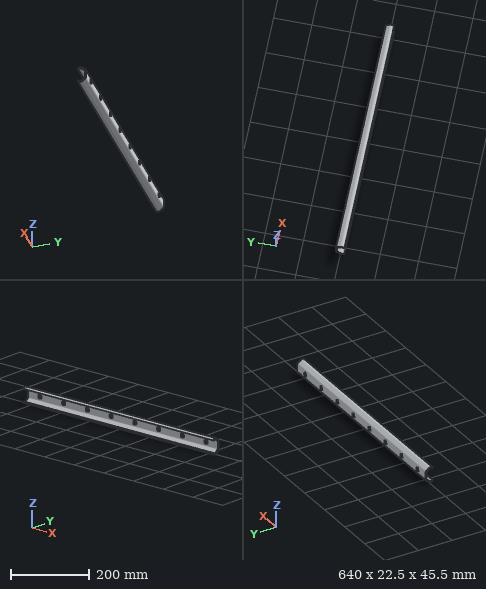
import cadquery as cq
import math

length = 640.0
depth = 22.5
height = 45.5
thickness = 4.0

flank_angle = 38.0
lip_angle = 33.0
bend_radius = 7.0
crest_radius = 8.0
crest_y = -4.5

hole_count = 8
hole_pitch = 80.0
hole_diameter = 11.0

web_y = depth / 2
bend_center_y = web_y - bend_radius
crest_z = height / 2 - crest_radius

flank = math.radians(flank_angle)
tangent_rise = (crest_radius - bend_radius) / math.cos(flank)
bend_z = crest_z - (bend_center_y - crest_y) * math.tan(flank) + tangent_rise

lip = math.radians(lip_angle)
tip_radius = thickness / 2
tip_y = tip_radius - depth / 2
tip_z = crest_z + (crest_radius - tip_radius) / math.cos(lip) - (crest_y - tip_y) * math.tan(lip)


def on_arc(center_y, center_z, radius, tilt):
    """Point on a bend, with tilt in degrees from +Z toward +Y."""
    angle = math.radians(tilt)
    return center_y + radius * math.sin(angle), center_z + radius * math.cos(angle)


def upper_face(inset):
    """Points from the mid-height of the web to the upper lip end, inset from the outer face."""
    bend = bend_radius - inset
    crest = crest_radius - inset
    return {
        "middle": (web_y - inset, 0),
        "bend_start": (web_y - inset, bend_z),
        "bend_middle": on_arc(bend_center_y, bend_z, bend, (90 + flank_angle) / 2),
        "bend_end": on_arc(bend_center_y, bend_z, bend, flank_angle),
        "crest_start": on_arc(crest_y, crest_z, crest, flank_angle),
        "crest_top": (crest_y, crest_z + crest),
        "crest_end": on_arc(crest_y, crest_z, crest, -lip_angle),
        "lip_end": on_arc(tip_y, tip_z, tip_radius - inset, -lip_angle),
    }


def upper_half():
    outer = upper_face(0)
    inner = upper_face(thickness)
    tip_extreme = (-depth / 2, tip_z)
    return (
        cq.Workplane("YZ", origin=(-length / 2, 0, 0))
        .moveTo(*outer["middle"])
        .lineTo(*outer["bend_start"])
        .threePointArc(outer["bend_middle"], outer["bend_end"])
        .lineTo(*outer["crest_start"])
        .threePointArc(outer["crest_top"], outer["crest_end"])
        .lineTo(*outer["lip_end"])
        .threePointArc(tip_extreme, inner["lip_end"])
        .lineTo(*inner["crest_end"])
        .threePointArc(inner["crest_top"], inner["crest_start"])
        .lineTo(*inner["bend_end"])
        .threePointArc(inner["bend_middle"], inner["bend_start"])
        .lineTo(*inner["middle"])
        .close()
        .extrude(length)
    )


def web_holes():
    return (
        cq.Workplane("XZ", origin=(0, web_y, 0))
        .rarray(hole_pitch, 6.5, hole_count, 1)
        .circle(hole_diameter / 2)
        .extrude(2 * thickness, both=True)
    )


half = upper_half()
rail = half.union(half.mirror("XY")).clean()
result = rail.cut(web_holes())